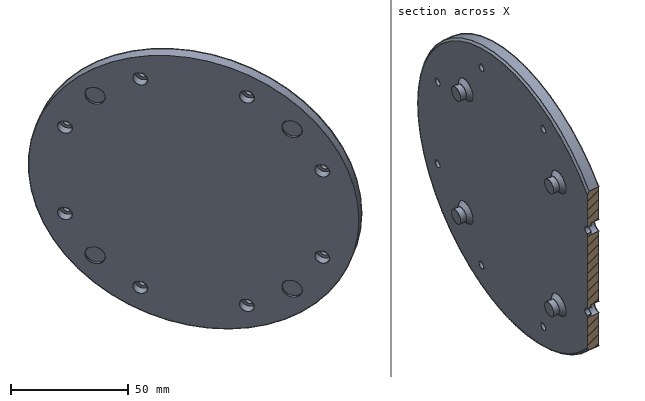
import cadquery as cq
import math

plate_diameter = 146.0
plate_thickness = 6.0
rim_chamfer = 1.0

pin_count = 4
pin_circle_radius = 50.0
pin_diameter = 7.0
pin_height = 5.0
pin_foot_height = 2.0
pin_first_angle = 45.0

full_turn = 360.0

front_circle_radius = 61.5

screw_count = 8
screw_first_angle = 22.5
screw_hole_diameter = 3.6
counterbore_diameter = 6.5
counterbore_depth = 3.8

recess_count = 4
recess_first_angle = 45.0
recess_diameter = 9.0
recess_depth = 1.0


def circle_positions(radius, count, first_angle):
    """(x, z) positions evenly spaced on a circle about the plate axis."""
    angles = [math.radians(first_angle + i * full_turn / count) for i in range(count)]
    return [(radius * math.cos(a), radius * math.sin(a)) for a in angles]


def revolved_about_y(profile):
    """Solid of revolution about the Y axis from (radius, y) profile points."""
    return cq.Workplane("XY").polyline(profile).close().revolve(full_turn, (0, 0, 0), (0, 1, 0))


def cylinder_from_front(diameter, depth):
    """Cylinder on the Y axis, from the front face to the given depth."""
    return cq.Workplane("XZ").circle(diameter / 2).extrude(-depth)


def make_plate():
    radius = plate_diameter / 2
    return revolved_about_y([
        (0, 0),
        (radius, 0),
        (radius, plate_thickness - rim_chamfer),
        (radius - rim_chamfer, plate_thickness),
        (0, plate_thickness),
    ])


def make_pin():
    radius = pin_diameter / 2
    foot_radius = radius + pin_foot_height
    foot_top = plate_thickness + pin_foot_height
    pin_top = plate_thickness + pin_height
    return revolved_about_y([
        (0, plate_thickness),
        (foot_radius, plate_thickness),
        (radius, foot_top),
        (radius, pin_top),
        (0, pin_top),
    ])


def make_screw_hole():
    hole = cylinder_from_front(screw_hole_diameter, plate_thickness)
    return hole.union(cylinder_from_front(counterbore_diameter, counterbore_depth))


result = make_plate()

pin = make_pin()
for x, z in circle_positions(pin_circle_radius, pin_count, pin_first_angle):
    result = result.union(pin.translate((x, 0, z)))

screw_hole = make_screw_hole()
for x, z in circle_positions(front_circle_radius, screw_count, screw_first_angle):
    result = result.cut(screw_hole.translate((x, 0, z)))

recess = cylinder_from_front(recess_diameter, recess_depth)
for x, z in circle_positions(front_circle_radius, recess_count, recess_first_angle):
    result = result.cut(recess.translate((x, 0, z)))